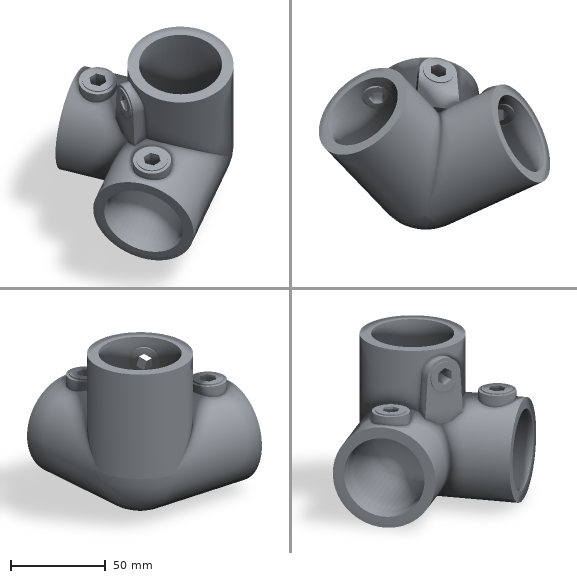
import cadquery as cq
import math


overall_size = 88.0
socket_radius = 28.0
bore_radius = 21.9
socket_length = overall_size - socket_radius

boss_radius = 10.0
boss_height = 32.6
boss_offset = 46.0
rib_bottom_z = 19.9
rib_bottom_width = 23.6

screw_radius = 8.3
screw_top = boss_height + 0.7
screw_bottom = 20.7
hex_across_flats = 8.2
hex_across_corners = hex_across_flats / math.cos(math.pi / 6)

SOCKET_DIRECTIONS = [(-1, 0, 0), (0, -1, 0), (0, 0, 1)]

UP = (0, 0, 1)
OUT = (-1, -1, 0)
SCREW_PLANES = [
    cq.Plane(origin=(-boss_offset, 0, 0), xDir=(1, 0, 0), normal=UP),
    cq.Plane(origin=(0, -boss_offset, 0), xDir=(1, 0, 0), normal=UP),
    cq.Plane(origin=(0, 0, boss_offset), xDir=UP, normal=OUT),
]
upright_screw_plane = SCREW_PLANES[2]


def make_corner(radius):
    """Three cylinders along the socket axes, joined by a ball."""
    corner = cq.Workplane("XY").sphere(radius)
    for direction in SOCKET_DIRECTIONS:
        cylinder = cq.Solid.makeCylinder(radius, socket_length, cq.Vector(0, 0, 0), cq.Vector(*direction))
        corner = corner.union(cq.Workplane(obj=cylinder))
    return corner


def make_rib():
    """Tapered block that carries the upright socket's boss down to the other sockets."""
    bottom = rib_bottom_z - boss_offset
    return (
        cq.Workplane(upright_screw_plane)
        .moveTo(0, -boss_radius)
        .lineTo(bottom, -rib_bottom_width / 2)
        .lineTo(bottom, rib_bottom_width / 2)
        .lineTo(0, boss_radius)
        .close()
        .extrude(boss_height)
    )


def make_housing():
    housing = make_corner(socket_radius)
    for plane in SCREW_PLANES:
        housing = housing.union(cq.Workplane(plane).circle(boss_radius).extrude(boss_height))
    housing = housing.union(make_rib())
    housing = housing.cut(make_corner(bore_radius))
    for plane in SCREW_PLANES:
        housing = housing.cut(cq.Workplane(plane).circle(screw_radius).extrude(screw_top))
    return housing


def make_set_screw(plane):
    """Plain cylinder with a hexagon hole right through it."""
    return (
        cq.Workplane(plane)
        .workplane(offset=screw_bottom)
        .circle(screw_radius)
        .polygon(6, hex_across_corners)
        .extrude(screw_top - screw_bottom)
    )


housing = make_housing()
set_screws = []
for screw_plane in SCREW_PLANES:
    set_screws.append(make_set_screw(screw_plane).val())

result = cq.Compound.makeCompound([housing.solids().val(), *set_screws])